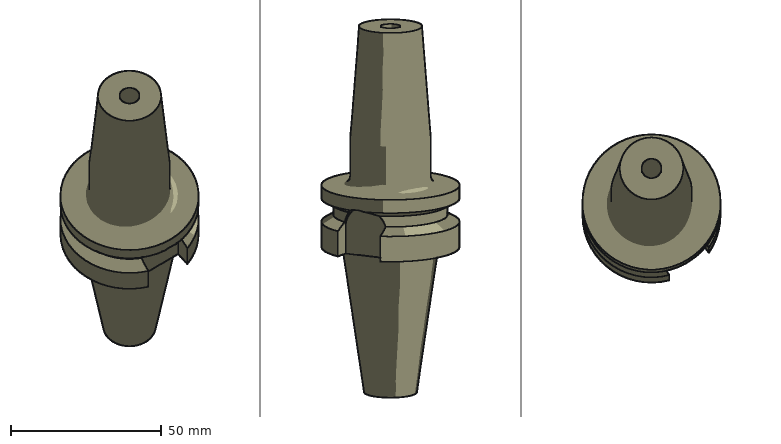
import cadquery as cq

total_height = 124.6

shank_height = 48.3
gauge_radius = 31.8 / 2
taper_ratio = 7 / 24
shank_tip_radius = gauge_radius - shank_height * taper_ratio / 2

flange_radius = 46.0 / 2
groove_radius = 38.0 / 2
ring_bottom_z = 49.5
ring_top_z = 58.1
groove_bottom_z = 60.4
groove_top_z = 64.0
disc_bottom_z = 66.0
disc_top_z = 70.5

nose_radius = 13.5
nose_fillet = 3.0
cone_bottom_z = 86.6
nose_tip_radius = 21.0 / 2

bore_diameter = 6.6
bore_depth = 36.0

slot_width = 16.1
slot_top_z = 66.4
slot_floor_x = 16.3


def make_body():
    """Revolve the half profile of the holder about the Z axis."""
    fillet_outer_radius = nose_radius + nose_fillet
    fillet_top_z = disc_top_z + nose_fillet
    return (
        cq.Workplane("XZ")
        .lineTo(shank_tip_radius, 0)
        .lineTo(gauge_radius, shank_height)
        .lineTo(gauge_radius, ring_bottom_z)
        .lineTo(flange_radius, ring_bottom_z)
        .lineTo(flange_radius, ring_top_z)
        .lineTo(groove_radius, groove_bottom_z)
        .lineTo(groove_radius, groove_top_z)
        .lineTo(flange_radius, disc_bottom_z)
        .lineTo(flange_radius, disc_top_z)
        .lineTo(fillet_outer_radius, disc_top_z)
        .radiusArc((nose_radius, fillet_top_z), nose_fillet)
        .lineTo(nose_radius, cone_bottom_z)
        .lineTo(nose_tip_radius, total_height)
        .lineTo(0, total_height)
        .close()
        .revolve(360, (0, 0, 0), (0, 1, 0))
    )


def make_drive_slot():
    """Cutter for the slot on the +X side."""
    half_width = slot_width / 2
    arch_center_z = slot_top_z - half_width
    return (
        cq.Workplane("YZ", origin=(slot_floor_x, 0, 0))
        .moveTo(-half_width, ring_bottom_z)
        .lineTo(half_width, ring_bottom_z)
        .lineTo(half_width, arch_center_z)
        .threePointArc((0, slot_top_z), (-half_width, arch_center_z))
        .close()
        .extrude(flange_radius)
    )


def make_bore():
    """Cutter for the blind bore, sunk from the nose tip."""
    return (
        cq.Workplane("XY", origin=(0, 0, total_height - bore_depth))
        .circle(bore_diameter / 2)
        .extrude(bore_depth)
    )


result = make_body().cut(make_bore())
for slot_angle in (0, 180):
    result = result.cut(make_drive_slot().rotate((0, 0, 0), (0, 0, 1), slot_angle))